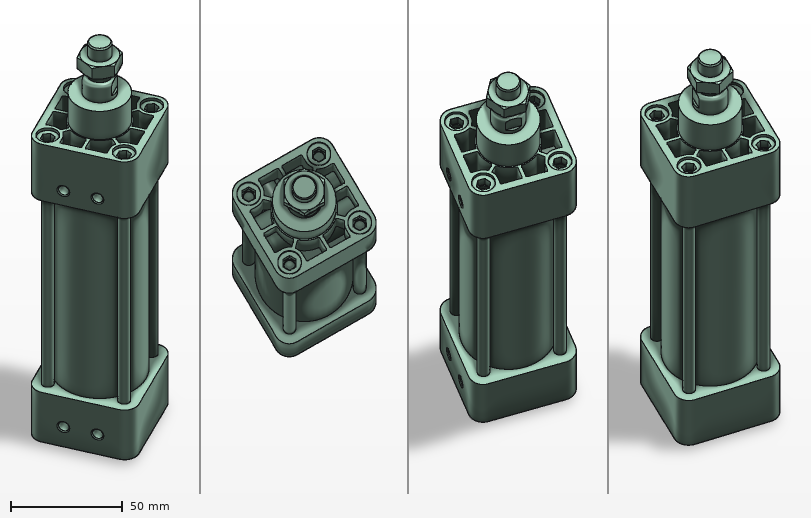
import cadquery as cq
import math

total_height = 216.0
rear_spigot_height = 3.0
rear_cap_top = 31.0
front_cap_bottom = 139.5
front_cap_top = 171.5
collar_top = 187.5
shoulder_top = 197.0

cap_width = 50.7
corner_radius = 7.0
tube_diameter = 44.0
spigot_diameter = 28.5
tie_rod_diameter = 5.8
tie_rod_offset = 18.1

recess_diameter = 10.5
recess_depth = 1.5
socket_width = 5.8
socket_depth = 4.3
pilot_diameter = 5.0
pilot_depth = 2.2

pocket_floor = 149.5
pocket_wall = 3.7
pocket_width = cap_width - 2 * pocket_wall
core_diameter = 29.8
rib_thickness = 1.7
corner_boss_radius = corner_radius
pocket_fillet = 0.6

screw_spacing = 16.2
screw_diameter = 5.0
screw_mouth_diameter = 6.0
screw_depth = 8.6
drill_point_angle = 118.0
screw_boss_diameter = 14.7
front_screw_level = 147.7
rear_screw_level = 14.2

port_boss_diameter = 23.5
valve_boss_diameter = 11.0
valve_boss_offset = 8.2

rod_diameter = 16.0
rod_bottom = front_cap_bottom
shoulder_fillet = 2.2
flats_bottom = 190.0
flats_runout_angle = 30.0
flats_width = 14.0
thread_diameter = 11.0
thread_chamfer = 0.55
thread_chamfer_height = 0.9

hexagon_half_angle = 30.0

nut_width = 18.0
nut_bottom = 201.7
nut_thickness = 7.0
nut_chamfer_angle = 20.0


def cylinder(diameter, bottom, top, x=0.0, y=0.0):
    """Upright cylinder between two levels."""
    return cq.Workplane("XY", origin=(x, y, bottom)).circle(diameter / 2).extrude(top - bottom)


def hexagon(width, bottom, top, x=0.0, y=0.0):
    """Upright hexagonal prism with two of its flats facing +X and -X."""
    width_across_corners = width / math.cos(math.radians(hexagon_half_angle))
    base = cq.Workplane("XY", origin=(x, y, bottom))
    profile = base.transformed(rotate=(0, 0, hexagon_half_angle))
    return profile.polygon(6, width_across_corners).extrude(top - bottom)


def block(width, length, bottom, top):
    """Upright rectangular block centred on the Z axis."""
    return cq.Workplane("XY", origin=(0, 0, bottom)).rect(width, length).extrude(top - bottom)


def tie_rod_places():
    return [(sx * tie_rod_offset, sy * tie_rod_offset) for sx in (-1, 1) for sy in (-1, 1)]


def screw_places():
    return [-screw_spacing / 2, screw_spacing / 2]


def make_cap(bottom, top):
    return block(cap_width, cap_width, bottom, top).edges("|Z").fillet(corner_radius)


def make_corner_boss(x, y):
    """Solid around one tie rod: rounded towards the cap centre and square towards the walls."""
    size = 2 * corner_boss_radius
    boss = cylinder(size, pocket_floor, front_cap_top, x, y)
    square = block(size, size, pocket_floor, front_cap_top)
    towards_x = square.translate((x + math.copysign(corner_boss_radius, x), y, 0))
    towards_y = square.translate((x, y + math.copysign(corner_boss_radius, y), 0))
    return boss.union(towards_x).union(towards_y)


def make_pocket_bosses():
    """Horizontal bosses in the pockets, each running from the cap centre to one wall."""
    reach = cap_width / 2
    port_plane = cq.Workplane("XZ", origin=(0, 0, front_screw_level))
    bosses = port_plane.circle(port_boss_diameter / 2).extrude(-reach)
    valve_plane = cq.Workplane("YZ", origin=(0, valve_boss_offset, front_screw_level))
    bosses = bosses.union(valve_plane.circle(valve_boss_diameter / 2).extrude(reach))
    for x in screw_places():
        screw_plane = cq.Workplane("XZ", origin=(x, 0, front_screw_level))
        bosses = bosses.union(screw_plane.circle(screw_boss_diameter / 2).extrude(reach))
    return bosses


def make_cap_pockets():
    """Eight pockets left between the walls, core, ribs and bosses of the front cap."""
    pockets = block(pocket_width, pocket_width, pocket_floor, front_cap_top)
    pockets = pockets.cut(cylinder(core_diameter, pocket_floor, front_cap_top))
    rib = block(2 * cap_width, rib_thickness, pocket_floor, front_cap_top)
    for angle in (0, 45, 90, 135):
        pockets = pockets.cut(rib.rotate((0, 0, 0), (0, 0, 1), angle))
    for x, y in tie_rod_places():
        pockets = pockets.cut(make_corner_boss(x, y))
    pockets = pockets.edges("|Z").fillet(pocket_fillet)
    return pockets.cut(make_pocket_bosses())


def make_screw_hole(x, level):
    """Blind hole from the -Y face with a countersunk mouth and a drill point."""
    radius = screw_diameter / 2
    mouth_radius = screw_mouth_diameter / 2
    mouth_depth = mouth_radius - radius
    tip_depth = screw_depth + radius / math.tan(math.radians(drill_point_angle / 2))
    profile = (
        cq.Workplane("XY")
        .moveTo(0, 0)
        .lineTo(mouth_radius, 0)
        .lineTo(radius, mouth_depth)
        .lineTo(radius, screw_depth)
        .lineTo(0, tip_depth)
        .close()
    )
    hole = profile.revolve(360, (0, 0, 0), (0, 1, 0))
    return hole.translate((x, -cap_width / 2, level))


def make_tie_rod_recess(x, y):
    recess_floor = front_cap_top - recess_depth
    socket_floor = recess_floor - socket_depth
    recess = cylinder(recess_diameter, recess_floor, front_cap_top, x, y)
    recess = recess.union(hexagon(socket_width, socket_floor, recess_floor, x, y))
    return recess.union(cylinder(pilot_diameter, socket_floor - pilot_depth, socket_floor, x, y))


def make_housing():
    housing = make_cap(front_cap_bottom, front_cap_top).cut(make_cap_pockets())
    housing = housing.union(make_cap(rear_spigot_height, rear_cap_top))
    housing = housing.union(cylinder(tube_diameter, rear_cap_top, front_cap_bottom))
    for x, y in tie_rod_places():
        housing = housing.union(cylinder(tie_rod_diameter, rear_cap_top, front_cap_bottom, x, y))
    housing = housing.union(cylinder(spigot_diameter, 0, rear_spigot_height))
    housing = housing.union(cylinder(spigot_diameter, front_cap_top, collar_top))
    for x, y in tie_rod_places():
        housing = housing.cut(make_tie_rod_recess(x, y))
    for x in screw_places():
        for level in (front_screw_level, rear_screw_level):
            housing = housing.cut(make_screw_hole(x, level))
    return housing.cut(cylinder(rod_diameter, rod_bottom, collar_top))


def make_piston_rod():
    shoulder_radius = rod_diameter / 2
    thread_radius = thread_diameter / 2
    arc_radius = shoulder_radius - shoulder_fillet
    arc_bottom = shoulder_top - shoulder_fillet
    arc_reach = shoulder_fillet * math.sqrt(0.5)
    profile = (
        cq.Workplane("XZ")
        .moveTo(0, rod_bottom)
        .lineTo(shoulder_radius, rod_bottom)
        .lineTo(shoulder_radius, arc_bottom)
        .threePointArc((arc_radius + arc_reach, arc_bottom + arc_reach), (arc_radius, shoulder_top))
        .lineTo(thread_radius, shoulder_top)
        .lineTo(thread_radius, total_height - thread_chamfer_height)
        .lineTo(thread_radius - thread_chamfer, total_height)
        .lineTo(0, total_height)
        .close()
    )
    rod = profile.revolve(360, (0, 0, 0), (0, 1, 0))
    for side in (-1, 1):
        rod = rod.cut(make_wrench_flat(side))
    return rod


def make_wrench_flat(side):
    """Material removed on one X side of the rod, with a lower end that slopes down outwards."""
    inner = side * flats_width / 2
    outer = side * rod_diameter
    drop = abs(outer - inner) * math.tan(math.radians(flats_runout_angle))
    profile = (
        cq.Workplane("XZ")
        .moveTo(inner, shoulder_top)
        .lineTo(inner, flats_bottom)
        .lineTo(outer, flats_bottom - drop)
        .lineTo(outer, shoulder_top)
        .close()
    )
    return profile.extrude(rod_diameter / 2, both=True)


def make_nut():
    nut_top = nut_bottom + nut_thickness
    flat_distance = nut_width / 2
    corner_distance = flat_distance / math.cos(math.radians(hexagon_half_angle))
    drop = (corner_distance - flat_distance) * math.tan(math.radians(nut_chamfer_angle))
    profile = (
        cq.Workplane("XZ")
        .moveTo(0, nut_bottom)
        .lineTo(flat_distance, nut_bottom)
        .lineTo(corner_distance, nut_bottom + drop)
        .lineTo(corner_distance, nut_top - drop)
        .lineTo(flat_distance, nut_top)
        .lineTo(0, nut_top)
        .close()
    )
    envelope = profile.revolve(360, (0, 0, 0), (0, 1, 0))
    nut = hexagon(nut_width, nut_bottom, nut_top).intersect(envelope)
    return nut.cut(cylinder(thread_diameter, nut_bottom, nut_top))


housing = make_housing()
piston_rod = make_piston_rod()
nut = make_nut()
result = cq.Compound.makeCompound([housing.val(), piston_rod.val(), nut.val()])